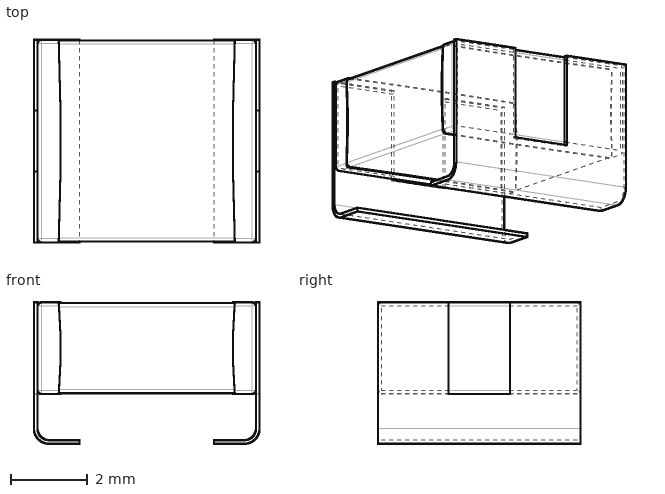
import cadquery as cq

length = 5.9
width = 5.3
height = 3.7

sheet = 0.1
foot_length = 1.2
bend_outer_radius = 0.4
bend_inner_radius = bend_outer_radius - sheet
slot_width = 1.6

block_height = 2.4
block_length = length - 2 * sheet
block_bottom = height - block_height
edge_radius = 0.1
cap_thickness = 0.02

cap_reach_middle = 0.7
cap_reach_corner = 0.65


def rounded_block(size_x, size_y, size_z):
    """Block with all edges rounded, centred at the block height."""
    return (
        cq.Workplane("XY", origin=(0, 0, block_bottom + block_height / 2))
        .box(size_x, size_y, size_z)
        .edges()
        .fillet(edge_radius)
    )


def bowed_prism(plane, center_z, span, depth):
    """Prism from the left end to a rim that bows inward across the given span."""
    end_x = -length / 2
    half_span = span / 2
    return (
        cq.Workplane(plane, origin=(0, 0, center_z))
        .moveTo(end_x, -half_span)
        .lineTo(end_x + cap_reach_corner, -half_span)
        .threePointArc((end_x + cap_reach_middle, 0), (end_x + cap_reach_corner, half_span))
        .lineTo(end_x, half_span)
        .close()
        .extrude(depth / 2, both=True)
    )


def left_cap():
    """End cap whose rim bows on all four sides of the block."""
    center_z = block_bottom + block_height / 2
    bowed_top_and_bottom = bowed_prism("XY", center_z, width, block_height)
    bowed_sides = bowed_prism("XZ", center_z, block_height, width)
    envelope = rounded_block(block_length, width, block_height)
    return envelope.intersect(bowed_top_and_bottom.union(bowed_sides))


def left_terminal():
    """Upright sheet, bent inward into a foot and slotted from the top edge."""
    outer_x = -length / 2
    inner_x = outer_x + sheet
    toe_x = outer_x + foot_length
    bend_x = outer_x + bend_outer_radius
    profile = (
        cq.Workplane("XZ")
        .moveTo(outer_x, height)
        .lineTo(outer_x, bend_outer_radius)
        .radiusArc((bend_x, 0), -bend_outer_radius)
        .lineTo(toe_x, 0)
        .lineTo(toe_x, sheet)
        .lineTo(bend_x, sheet)
        .radiusArc((inner_x, bend_outer_radius), bend_inner_radius)
        .lineTo(inner_x, height)
        .close()
    )
    slot = cq.Workplane("XY").box(sheet, slot_width, block_height, centered=(False, True, False))
    return profile.extrude(width / 2, both=True).cut(slot.translate((outer_x, 0, block_bottom)))


core = rounded_block(
    block_length - 2 * cap_thickness,
    width - 2 * cap_thickness,
    block_height - 2 * cap_thickness,
)
left_end = left_cap().union(left_terminal())
right_end = left_end.mirror("YZ")

result = core.union(left_end).union(right_end)